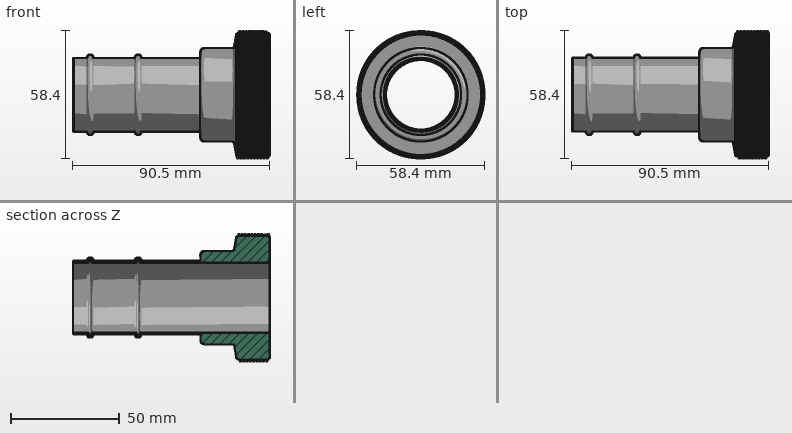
import cadquery as cq
import math

total_length = 90.5
bore_radius = 16.0

tube_radius = 17.0
wall = tube_radius - bore_radius
tip_chamfer = 0.5
bead_positions = (8.0, 30.0)
bead_height = 1.5
bead_root_radius = 0.2

collar_start = 58.5
collar_radius = 21.5
collar_round = 2.0

head_radius = 28.4
back_face_angle = math.radians(10.0)
back_rim_x = 75.0
back_rim_radius = 27.7
back_chamfer_length = 0.8
front_chamfer = 0.7
head_root_radius = 0.8

thread_pitch = 1.5
thread_radius = 29.21
thread_start = 75.85
thread_turns = 9.3
thread_start_angle = -90.0
ridge_root_width = 1.2
ridge_crest_width = 0.3
ridge_overlap = 0.15


def arc_point(center, radius, angle):
    """Point on a circle in the (x, radius) plane."""
    return (center[0] + radius * math.cos(angle), center[1] + radius * math.sin(angle))


def add_bead(outline, x, surface_radius, crest_arc, root_arc, direction):
    """Draw a rolled bead centred at x; direction is +1 along +X and -1 along -X.

    The bead is a crest arc centred on the tube radius, blended into the
    surface by a tangent root arc on each side.
    """
    root_level = surface_radius + root_arc
    rise = root_level - tube_radius
    half_width = math.sqrt((crest_arc + root_arc) ** 2 - rise ** 2)
    lean = math.asin(rise / (crest_arc + root_arc))
    root_middle_angle = (-math.pi / 2 + lean - math.pi) / 2

    def side_points(side):
        """Foot, middle of the root arc and shoulder on one side of the bead."""
        root_mid = arc_point((half_width, root_level), root_arc, root_middle_angle)
        shoulder = arc_point((0, tube_radius), crest_arc, lean)
        points = ((half_width, surface_radius), root_mid, shoulder)
        return [(x + side * offset, radius) for offset, radius in points]

    near_foot, near_root, near_shoulder = side_points(-direction)
    far_foot, far_root, far_shoulder = side_points(direction)
    return (
        outline.lineTo(*near_foot)
        .threePointArc(near_root, near_shoulder)
        .threePointArc((x, tube_radius + crest_arc), far_shoulder)
        .threePointArc(far_root, far_foot)
    )


def make_body():
    """Revolve the complete wall section about the X axis."""
    outline = cq.Workplane("XY").moveTo(0, bore_radius).lineTo(0, tube_radius - tip_chamfer)
    outline = outline.lineTo(tip_chamfer, tube_radius)
    for x in bead_positions:
        outline = add_bead(outline, x, tube_radius, bead_height, bead_root_radius, 1)

    round_center = (collar_start + collar_round, collar_radius - collar_round)
    outline = outline.lineTo(collar_start, tube_radius).lineTo(collar_start, round_center[1])
    outline = outline.threePointArc(
        arc_point(round_center, collar_round, 3 * math.pi / 4),
        arc_point(round_center, collar_round, math.pi / 2),
    )

    root_center_radius = collar_radius + head_root_radius
    root_end_radius = root_center_radius - head_root_radius * math.sin(back_face_angle)
    root_end_x = back_rim_x - (back_rim_radius - root_end_radius) * math.tan(back_face_angle)
    root_center = (root_end_x - head_root_radius * math.cos(back_face_angle), root_center_radius)
    outline = outline.lineTo(root_center[0], collar_radius)
    outline = outline.threePointArc(
        arc_point(root_center, head_root_radius, -(math.pi / 2 + back_face_angle) / 2),
        (root_end_x, root_end_radius),
    )

    outline = outline.lineTo(back_rim_x, back_rim_radius)
    outline = outline.lineTo(back_rim_x + back_chamfer_length, head_radius)
    outline = outline.lineTo(total_length - front_chamfer, head_radius)
    outline = outline.lineTo(total_length, head_radius - front_chamfer)
    outline = outline.lineTo(total_length, bore_radius)

    for x in reversed(bead_positions):
        outline = add_bead(outline, x, bore_radius, bead_height - wall, bead_root_radius + wall, -1)
    return outline.close().revolve(360, (0, 0, 0), (1, 0, 0))


def make_thread():
    """Sweep the trapezoidal ridge along a helix about Z, then turn it onto the X axis."""
    flank_slope = (ridge_root_width - ridge_crest_width) / 2 / (thread_radius - head_radius)
    sunk_radius = head_radius - ridge_overlap
    sunk_half_width = ridge_root_width / 2 + ridge_overlap * flank_slope
    crest_half_width = ridge_crest_width / 2
    helix = cq.Wire.makeHelix(thread_pitch, thread_pitch * thread_turns, head_radius)
    ridge = (
        cq.Workplane("XZ")
        .moveTo(sunk_radius, -sunk_half_width)
        .lineTo(thread_radius, -crest_half_width)
        .lineTo(thread_radius, crest_half_width)
        .lineTo(sunk_radius, sunk_half_width)
        .close()
        .sweep(cq.Workplane(obj=helix), isFrenet=True)
    )
    ridge = ridge.rotate((0, 0, 0), (1, 1, 1), 120)
    ridge = ridge.rotate((0, 0, 0), (1, 0, 0), thread_start_angle)
    return ridge.translate((thread_start, 0, 0))


result = make_body().union(make_thread())